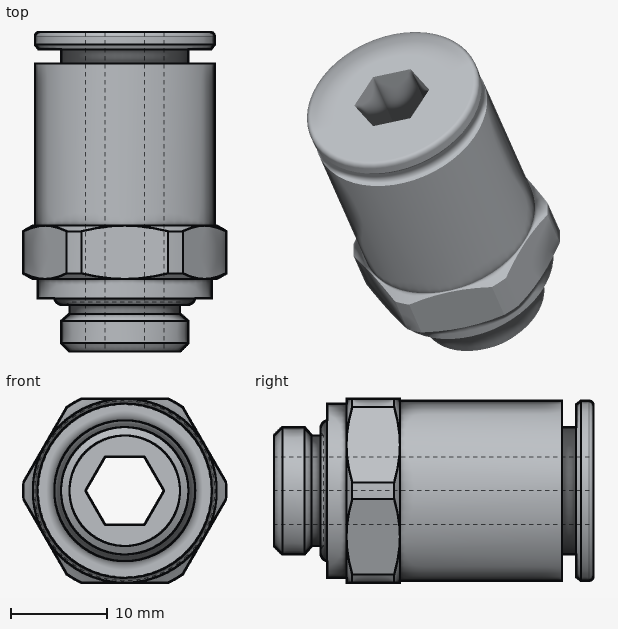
import cadquery as cq
import math


thread_end = 3.15
undercut_start = 3.9
seal_front = 4.8
flange_front = 5.5
nut_front = 7.5
nut_back = 13.0
sleeve_back = 29.75
ring_front = 31.2
overall_length = 33.0

thread_diameter = 13.15
undercut_diameter = 11.45
seal_diameter = 14.6
seal_section_diameter = 1.8
flange_diameter = 18.0
sleeve_diameter = 18.6
ring_diameter = 18.6
ring_neck_diameter = 13.15

nut_across_flats = 19.0
nut_corner_diameter = 21.0
nut_chamfer_angle = 30.0
socket_across_flats = 7.0

thread_chamfer = 0.87
ring_fillet = 0.5
ring_chamfer_axial = 0.5
ring_chamfer_radial = 0.4


def cylinder(diameter, start, end):
    """Cylinder on the Y axis between two axial positions."""
    return cq.Workplane("XZ", origin=(0, start, 0)).circle(diameter / 2).extrude(start - end)


def hexagon(across_flats, start, end):
    """Hexagonal prism on the Y axis between two axial positions."""
    across_corners = across_flats / math.cos(math.pi / 6)
    return cq.Workplane("XZ", origin=(0, start, 0)).polygon(6, across_corners).extrude(start - end)


def revolve_about_y(profile):
    """Full turn of a closed XY profile about the Y axis."""
    return profile.revolve(360, (0, 0, 0), (0, 1, 0))


def make_threaded_end():
    """Plain thread cylinder with a chamfered tip and a conical run into the undercut."""
    thread_radius = thread_diameter / 2
    undercut_radius = undercut_diameter / 2
    profile = (
        cq.Workplane("XY")
        .lineTo(thread_radius - thread_chamfer, 0)
        .lineTo(thread_radius, thread_chamfer)
        .lineTo(thread_radius, thread_end)
        .lineTo(undercut_radius, undercut_start)
        .lineTo(undercut_radius, nut_front)
        .lineTo(0, nut_front)
        .close()
    )
    return revolve_about_y(profile)


def make_seal():
    """O-ring pressed into the undercut, standing out in front of the flange."""
    section_radius = seal_section_diameter / 2
    center_radius = (seal_diameter - seal_section_diameter) / 2
    profile = cq.Workplane("XY").center(center_radius, seal_front + section_radius).circle(section_radius)
    return profile.revolve(360, (-center_radius, 0, 0), (-center_radius, 1, 0))


def make_nut():
    """Hexagon with its corners turned down and both ends chamfered by a cone."""
    face_radius = nut_across_flats / 2
    corner_radius = nut_corner_diameter / 2
    chamfer_length = (corner_radius - face_radius) * math.tan(math.radians(nut_chamfer_angle))
    profile = (
        cq.Workplane("XY")
        .moveTo(0, nut_front)
        .lineTo(face_radius, nut_front)
        .lineTo(corner_radius, nut_front + chamfer_length)
        .lineTo(corner_radius, nut_back - chamfer_length)
        .lineTo(face_radius, nut_back)
        .lineTo(0, nut_back)
        .close()
    )
    return hexagon(nut_across_flats, nut_front, nut_back).intersect(revolve_about_y(profile))


def make_release_ring():
    """Release ring with a chamfered front edge and a rounded back edge."""
    ring_radius = ring_diameter / 2
    profile = (
        cq.Workplane("XY")
        .moveTo(0, ring_front)
        .lineTo(ring_radius - ring_chamfer_radial, ring_front)
        .lineTo(ring_radius, ring_front + ring_chamfer_axial)
        .lineTo(ring_radius, overall_length - ring_fillet)
        .radiusArc((ring_radius - ring_fillet, overall_length), -ring_fillet)
        .lineTo(0, overall_length)
        .close()
    )
    return revolve_about_y(profile)


flange = cylinder(flange_diameter, flange_front, nut_front)
sleeve = cylinder(sleeve_diameter, nut_back, sleeve_back)
ring_neck = cylinder(ring_neck_diameter, sleeve_back, ring_front)

body = make_threaded_end()
for section in (make_seal(), flange, make_nut(), sleeve, ring_neck, make_release_ring()):
    body = body.union(section)

result = body.cut(hexagon(socket_across_flats, 0, overall_length))